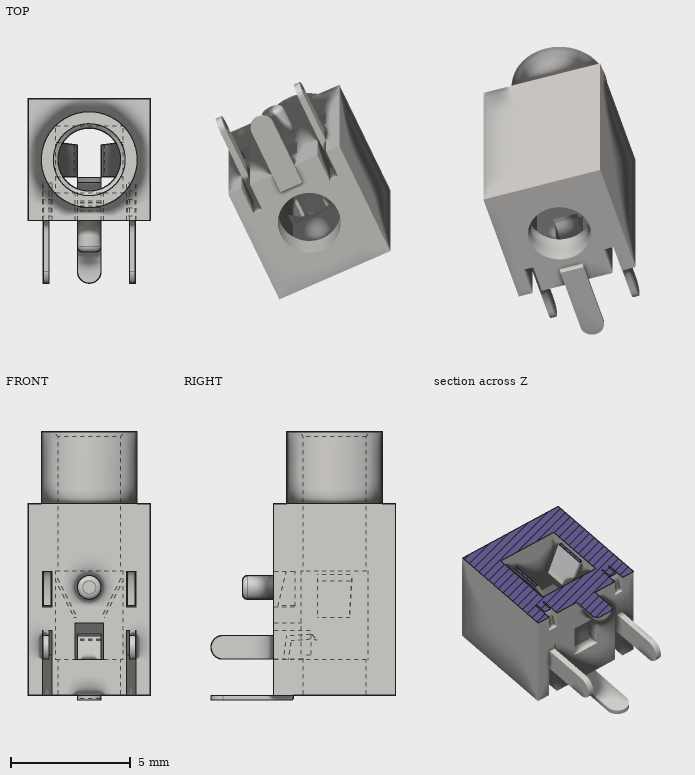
import cadquery as cq

block_width = 5.1
block_height = 8.0
barrel_diameter = 4.0
barrel_height = 3.0
bore_diameter = 2.62
bore_mouth_diameter = 3.0
bore_mouth_depth = 0.19
front = -block_width / 2
barrel_top = block_height + barrel_height

cavity_width = 2.8
cavity_floor = 1.5
cavity_height = 3.7

peg_diameter = 1.0
peg_length = 1.3
peg_height = 4.5
peg_rounding = 0.22

terminal_width = 1.0
terminal_reach = 2.61
side_terminal_thickness = 0.26
bottom_terminal_thickness = 0.2

slot_width = 0.4
slot_center = 1.75
slot_height = 2.71
slot_depth = 1.23
window_bottom = 3.68
window_height = 1.48
window_depth = 0.9
side_terminal_height = 2.0

plate_bottom = 1.69
plate_clearance = 0.02
recess_depth = 1.57
tab_thickness = 0.31
tab_gap = 0.07
tab_setback_bottom = 0.19
tab_setback_top = 0.53
leaf_front_edge = -0.72
leaf_root_back_edge = 0.73
leaf_tip_back_edge = 0.62
leaf_top = 5.04
leaf_knee = 3.42
leaf_tip = 3.25
leaf_knee_offset = 0.59
leaf_tip_offset = 0.49
leaf_thickness = 0.13

middle_window_width = 1.2
middle_window_bottom = cavity_floor
middle_window_height = 1.51
middle_terminal_inset = 0.83
middle_plate_setback = 0.41
middle_plate_lean = 0.13
middle_contact_top = 2.55
middle_tip_y = -0.74
middle_shoulder_y = -0.95
middle_tip_drop = 0.25
middle_shoulder_drop = 0.07
bend_chamfer = 0.07


def box(x_range, y_range, z_range):
    """Block spanning the given (low, high) ranges."""
    size = [high - low for low, high in (x_range, y_range, z_range)]
    return cq.Workplane("XY").box(*size, centered=False).translate((x_range[0], y_range[0], z_range[0]))


def centered_range(center, width):
    return (center - width / 2, center + width / 2)


def make_housing():
    block = cq.Workplane("XY").box(block_width, block_width, block_height, centered=(True, True, False))
    barrel = (
        cq.Workplane("XY").workplane(offset=block_height)
        .circle(barrel_diameter / 2).extrude(barrel_height)
    )
    bore = cq.Workplane("XY").circle(bore_diameter / 2).extrude(barrel_top)
    mouth = (
        cq.Workplane("XY").workplane(offset=barrel_top).circle(bore_mouth_diameter / 2)
        .workplane(offset=-bore_mouth_depth).circle(bore_diameter / 2).loft(ruled=True)
    )
    half_cavity = cavity_width / 2
    cavity = box(
        (-half_cavity, half_cavity), (-half_cavity, half_cavity),
        (cavity_floor, cavity_floor + cavity_height),
    )
    return block.union(barrel).cut(bore).cut(mouth).cut(cavity)


def make_peg():
    return (
        cq.Workplane("XZ", origin=(0, front, peg_height)).circle(peg_diameter / 2).extrude(peg_length)
        .faces("<Y").edges().fillet(peg_rounding)
    )


def make_terminal(inset, thickness):
    """Flat round-ended strip along -Y, starting the given inset behind the front, on top of Z = 0."""
    half = terminal_width / 2
    shoulder = front - terminal_reach + half
    return (
        cq.Workplane("XY").moveTo(-half, front + inset).lineTo(-half, shoulder)
        .threePointArc((0, shoulder - half), (half, shoulder)).lineTo(half, front + inset).close()
        .extrude(thickness)
    )


def make_side_openings():
    """Slot open at the bottom, deeper near its top, and the window above it, on the -X side."""
    x_range = centered_range(-slot_center, slot_width)
    slot = box(x_range, (front, front + slot_depth), (0, slot_height))
    window = box(x_range, (front, front + window_depth), (window_bottom, window_bottom + window_height))
    recess = box(x_range, (front, front + recess_depth), (plate_bottom, slot_height))
    return slot.union(recess).union(window)


def make_side_contact():
    """Terminal, plate, sloped tab and spring leaf of the contact on the -X side."""
    plate_x = -slot_center - slot_width / 2 + plate_clearance
    terminal = (
        make_terminal(slot_depth, side_terminal_thickness)
        .rotate((0, 0, 0), (0, 1, 0), 90).translate((plate_x, 0, side_terminal_height))
    )
    plate = box(
        (plate_x, plate_x + side_terminal_thickness),
        (front, front + recess_depth),
        (plate_bottom, slot_height),
    )
    window_top = window_bottom + window_height
    tab = (
        cq.Workplane("YZ", origin=(-slot_center - tab_thickness / 2, 0, 0))
        .polyline([
            (front + tab_setback_bottom, window_bottom + tab_gap),
            (front + tab_setback_top, window_top),
            (front + window_depth, window_top),
            (front + window_depth, window_bottom + tab_gap),
        ]).close().extrude(tab_thickness)
    )
    root = -cavity_width / 2
    leaf_side = (
        cq.Workplane("XZ", origin=(0, leaf_root_back_edge, 0))
        .polyline([
            (root, leaf_top),
            (-leaf_knee_offset, leaf_knee),
            (-leaf_tip_offset, leaf_tip),
            (-leaf_tip_offset - leaf_thickness, leaf_tip),
            (root, leaf_top - 2 * leaf_thickness),
        ]).close().extrude(leaf_root_back_edge - leaf_front_edge)
    )
    leaf_outline = (
        cq.Workplane("XY")
        .polyline([
            (root, leaf_front_edge),
            (-leaf_tip_offset, leaf_front_edge),
            (-leaf_tip_offset, leaf_tip_back_edge),
            (root, leaf_root_back_edge),
        ]).close().extrude(block_height)
    )
    leaf = leaf_side.intersect(leaf_outline)
    return terminal.union(plate).union(tab).union(leaf)


def make_middle_window():
    x_range = centered_range(0, middle_window_width)
    z_range = (middle_window_bottom, middle_window_bottom + middle_window_height)
    return box(x_range, (front, -cavity_width / 2), z_range)


def make_middle_contact():
    """Terminal under the block and the bent strip rising through the middle window into the cavity."""
    thickness = bottom_terminal_thickness
    terminal = make_terminal(middle_terminal_inset, thickness).translate((0, 0, -thickness))
    terminal = terminal.faces(">Y").edges("<Z").chamfer(bend_chamfer)
    plate_face = front + middle_plate_setback
    plate_bend = plate_face + middle_plate_lean
    bend_height = middle_contact_top - middle_shoulder_drop
    strip = (
        cq.Workplane("YZ", origin=(-terminal_width / 2, 0, 0))
        .polyline([
            (plate_face, middle_window_bottom),
            (plate_bend, bend_height),
            (middle_shoulder_y, middle_contact_top),
            (middle_tip_y, middle_contact_top - middle_tip_drop),
            (middle_shoulder_y, middle_contact_top - thickness),
            (plate_bend + thickness, bend_height - thickness),
            (plate_face + thickness, middle_window_bottom),
        ]).close().extrude(terminal_width)
    )
    return terminal.union(strip)


side_openings = make_side_openings()
side_contact = make_side_contact()
result = make_housing().cut(make_middle_window())
for opening in (side_openings, side_openings.mirror("YZ")):
    result = result.cut(opening)
for addition in (make_peg(), make_middle_contact(), side_contact, side_contact.mirror("YZ")):
    result = result.union(addition)